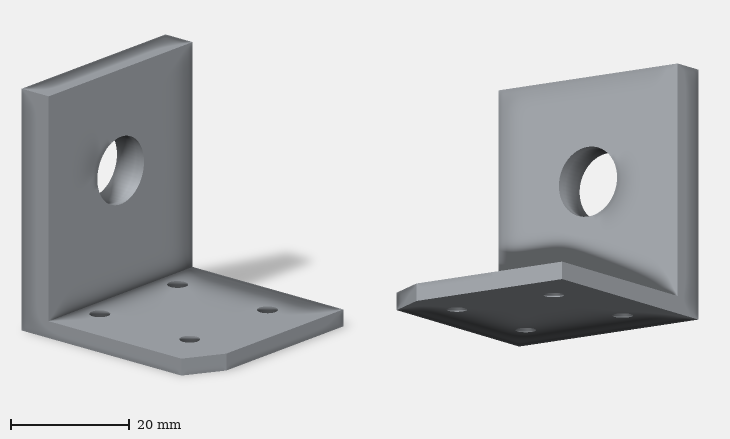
import cadquery as cq
import math

length = 39.5
width = 37.0
height = 43.0

wall_thickness = 6.0
base_thickness = 3.0

bore_diameter = 12.0
bore_height = 25.0

hole_diameter = 3.53
hole_spacing = 20.0
first_hole_x = 10.0

corner_cut_x = 4.0
corner_cut_angle = 60.0
corner_cut_y = corner_cut_x * math.tan(math.radians(corner_cut_angle))


def make_base():
    """Flat plate with one front corner cut off and four mounting holes."""
    plate = (
        cq.Workplane("XY")
        .moveTo(0, 0)
        .lineTo(length - corner_cut_x, 0)
        .lineTo(length, corner_cut_y)
        .lineTo(length, width)
        .lineTo(0, width)
        .close()
        .extrude(base_thickness)
    )
    pattern_center_x = first_hole_x + hole_spacing / 2
    holes = (
        cq.Workplane("XY")
        .center(pattern_center_x, width / 2)
        .rect(hole_spacing, hole_spacing, forConstruction=True)
        .vertices()
        .circle(hole_diameter / 2)
        .extrude(base_thickness)
    )
    return plate.cut(holes)


def make_wall():
    """Upright plate with a round bore through its thickness."""
    plate = cq.Workplane("XY").box(wall_thickness, width, height, centered=False)
    bore = (
        cq.Workplane("YZ")
        .center(width / 2, bore_height)
        .circle(bore_diameter / 2)
        .extrude(wall_thickness)
    )
    return plate.cut(bore)


result = make_base().union(make_wall())